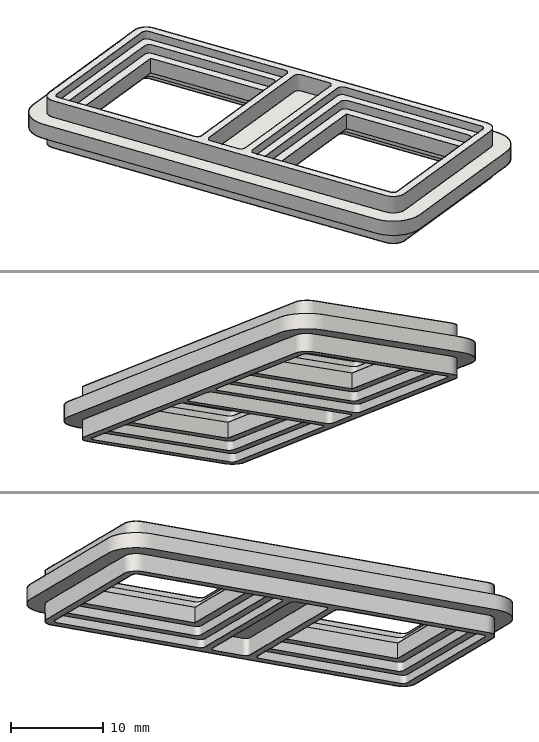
import cadquery as cq


length = 49.5
width = 24.5
height = 5.75
flange_thickness = 1.75
flange_overhang = 2.0

body_length = length - 2 * flange_overhang
body_width = width - 2 * flange_overhang
body_radius = 1.5
flange_radius = body_radius + flange_overhang

opening_spacing = 25.05
rim_wall = 1.0
outer_step_size = body_width - 2 * rim_wall
inner_step_size = 16.6
window_size = 14.45
outer_step_depth = 0.95
inner_step_depth = 2.0
recess_radius = 0.6

pocket_length = 4.65
pocket_width = outer_step_size
pocket_depth = inner_step_depth


def centred_block(size_x, size_y, thickness, radius):
    """Block centred on the origin with rounded vertical edges."""
    return cq.Workplane("XY").box(size_x, size_y, thickness).edges("|Z").fillet(radius)


def face_recesses(size_x, size_y, depth):
    """Pair of equal rounded recesses, one sunk into the top face and one into the bottom face."""
    recess = centred_block(size_x, size_y, depth, recess_radius)
    offset = (height - depth) / 2
    return recess.translate((0, 0, offset)).union(recess.translate((0, 0, -offset)))


def stepped_opening():
    """Solid removed for one opening: a square window with two rounded steps on each face."""
    window = cq.Workplane("XY").box(window_size, window_size, height)
    outer_steps = face_recesses(outer_step_size, outer_step_size, outer_step_depth)
    inner_steps = face_recesses(inner_step_size, inner_step_size, inner_step_depth)
    return window.union(outer_steps).union(inner_steps)


body = centred_block(body_length, body_width, height, body_radius)
flange = centred_block(length, width, flange_thickness, flange_radius)
result = body.union(flange)

for side in (-1, 1):
    result = result.cut(stepped_opening().translate((side * opening_spacing / 2, 0, 0)))

result = result.cut(face_recesses(pocket_length, pocket_width, pocket_depth))